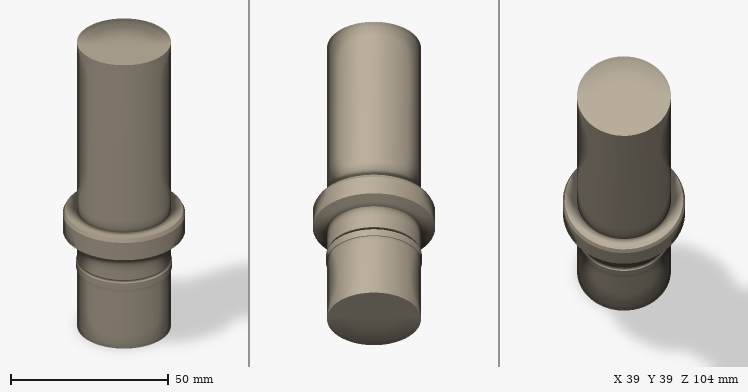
import cadquery as cq

total_height = 104.0
shaft_radius = 15.0

collar_radius = 19.5
collar_top = 42.6
collar_chamfer_width = 0.6
collar_chamfer_height = 1.2
cone_top = 35.0
cone_bottom = 33.2

groove_radius = 11.9
groove_top = 25.2
ring_radius = 15.3
ring_top = 24.1
ring_bottom = 21.7


def cylinder(radius, bottom, top):
    """Upright cylinder on the Z axis between two heights."""
    return cq.Workplane("XY").workplane(offset=bottom).circle(radius).extrude(top - bottom)


def collar():
    """Collar revolved about the Z axis."""
    profile = [
        (0, cone_bottom),
        (shaft_radius, cone_bottom),
        (collar_radius, cone_top),
        (collar_radius, collar_top - collar_chamfer_height),
        (collar_radius - collar_chamfer_width, collar_top),
        (0, collar_top),
    ]
    return cq.Workplane("XZ").polyline(profile).close().revolve(360, (0, 0), (0, 1))


lower_shaft = cylinder(shaft_radius, 0, ring_bottom)
ring = cylinder(ring_radius, ring_bottom, ring_top)
groove_core = cylinder(groove_radius, ring_top, groove_top)
upper_shaft = cylinder(shaft_radius, groove_top, total_height)

result = lower_shaft.union(ring).union(groove_core).union(upper_shaft).union(collar())